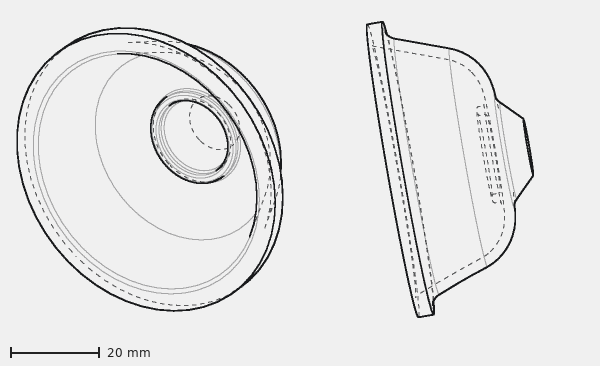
import cadquery as cq
import math


flange_radius = 33.5
flange_thickness = 3.5
total_height = 31.0

wall_thickness = 2.5
wall_angle = math.radians(20)
dome_radius_outer = 12.5
dome_radius_inner = dome_radius_outer - wall_thickness
crown_height = 25.5
ceiling_height = crown_height - wall_thickness
foot_fillet = 3.0
mouth_fillet = 1.0

nose_tip_radius = 6.5
nose_angle = math.radians(45)
nose_fillet = 3.0

ring_inner_radius = 9.0
ring_outer_radius = 11.0
ring_height = 2.0
ring_fillet = 0.5

nose_base_radius = nose_tip_radius + (total_height - crown_height) / math.tan(nose_angle)
dome_center_radius = nose_base_radius + nose_fillet * math.tan(nose_angle / 2)
dome_center_height = crown_height - dome_radius_outer


def dome_point(radius, elevation):
    """Point on a dome arc, with elevation measured from the radial direction."""
    return (
        dome_center_radius + radius * math.cos(elevation),
        dome_center_height + radius * math.sin(elevation),
    )


def wall_point(dome_radius, height):
    """Point at the given height on the conical wall tangent to a dome arc."""
    tangent_radius, tangent_height = dome_point(dome_radius, wall_angle)
    return (tangent_radius + (tangent_height - height) * math.tan(wall_angle), height)


def inner_dome_height(radius):
    """Height of the inner dome arc at a radius, also on the side of its apex nearer the axis."""
    return dome_center_height + math.sqrt(dome_radius_inner**2 - (radius - dome_center_radius) ** 2)


def nose_arc_point(turn):
    """Point on the nose fillet, turned by an angle from where it meets the crown level."""
    return (
        dome_center_radius - nose_fillet * math.sin(turn),
        crown_height + nose_fillet - nose_fillet * math.cos(turn),
    )


def revolve_about_axis(profile):
    return profile.close().revolve(360, (0, 0, 0), (0, 1, 0))


def circles_at(radius, height):
    """Selector for the circular edge of the given radius at the given height."""
    margin = 0.01
    outer = radius + margin
    inner = radius - margin
    low = height - margin
    high = height + margin
    within = cq.selectors.BoxSelector((-outer, low, -outer), (outer, high, outer), boundingbox=True)
    smaller = cq.selectors.BoxSelector((-inner, low, -inner), (inner, high, inner), boundingbox=True)
    return within - smaller


def make_outer_body():
    apex_elevation = math.radians(90)
    outer_arc_middle = (wall_angle + apex_elevation) / 2
    nose_arc_end = nose_arc_point(nose_angle)
    nose_arc_middle = nose_arc_point(nose_angle / 2)
    foot = wall_point(dome_radius_outer, flange_thickness)
    profile = (
        cq.Workplane("XY")
        .moveTo(0, 0)
        .lineTo(flange_radius, 0)
        .lineTo(flange_radius, flange_thickness)
        .lineTo(*foot)
        .lineTo(*dome_point(dome_radius_outer, wall_angle))
        .threePointArc(dome_point(dome_radius_outer, outer_arc_middle), (dome_center_radius, crown_height))
        .threePointArc(nose_arc_middle, nose_arc_end)
        .lineTo(nose_tip_radius, total_height)
        .lineTo(0, total_height)
    )
    return revolve_about_axis(profile).edges(circles_at(*foot)).fillet(foot_fillet)


def make_cavity():
    arc_end_radius = (ring_inner_radius + ring_outer_radius) / 2
    profile = (
        cq.Workplane("XY")
        .moveTo(0, 0)
        .lineTo(*wall_point(dome_radius_inner, 0))
        .lineTo(*dome_point(dome_radius_inner, wall_angle))
        .threePointArc(
            (dome_center_radius, ceiling_height),
            (arc_end_radius, inner_dome_height(arc_end_radius)),
        )
        .lineTo(arc_end_radius, ceiling_height)
        .lineTo(0, ceiling_height)
    )
    return revolve_about_axis(profile)


def make_ring():
    profile = (
        cq.Workplane("XY")
        .moveTo(ring_inner_radius, ceiling_height)
        .lineTo(ring_outer_radius, ceiling_height)
        .lineTo(ring_outer_radius, ceiling_height - ring_height)
        .lineTo(ring_inner_radius, ceiling_height - ring_height)
    )
    return revolve_about_axis(profile)


def round_inner_edges(body):
    mouth_radius, mouth_height = wall_point(dome_radius_inner, 0)
    body = body.edges(circles_at(mouth_radius, mouth_height)).fillet(mouth_fillet)
    ring_top = ceiling_height - ring_height
    ring_edges = (
        (ring_outer_radius, ring_top),
        (ring_inner_radius, ring_top),
        (ring_outer_radius, inner_dome_height(ring_outer_radius)),
        (ring_inner_radius, ceiling_height),
    )
    for radius, height in ring_edges:
        body = body.edges(circles_at(radius, height)).fillet(ring_fillet)
    return body


result = round_inner_edges(make_outer_body().cut(make_cavity()).union(make_ring()))